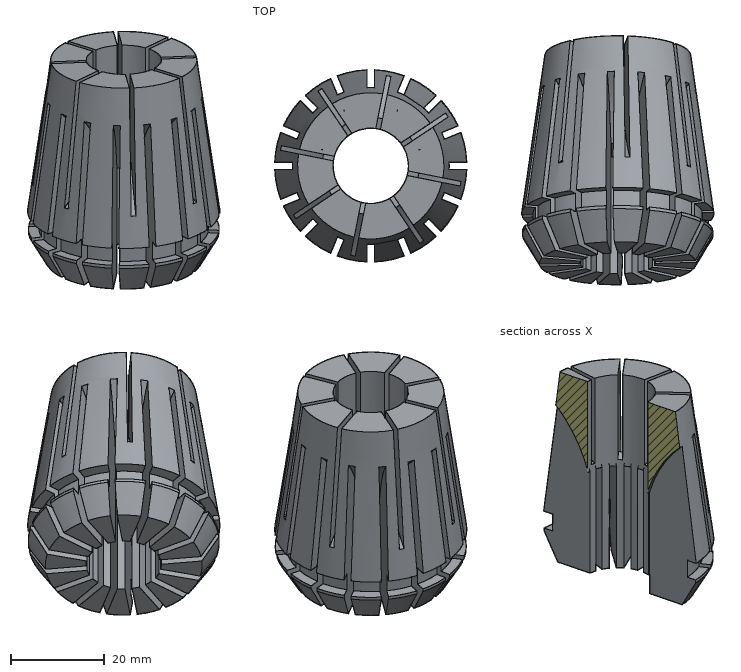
import cadquery as cq
import math

height = 46.0
max_radius = 20.5
taper_angle = 8.0
nose_angle = 30.0
nose_rim_radius = 20.35
nose_rim_bottom = 6.3
groove_bottom = 7.0
groove_top = 11.0
groove_radius = 18.1

bore_radius = 8.0

cutter_radius = 30.0

lower_slot_count = 16
lower_slot_width = 1.5
lower_slot_inner_end = 24.3
lower_slot_outer_end = 37.8

upper_slot_count = 8
upper_slot_width = 1.0
upper_slot_first_angle = -180.0 / lower_slot_count
upper_slot_outer_end = 18.0
floor_crest_radius = 10.35
floor_crest_height = 26.5
floor_dip_angle = 17.0

clearance = 2.0


def taper_radius(z):
    """Radius of the upper cone at height z."""
    return max_radius - (z - groove_top) * math.tan(math.radians(taper_angle))


def make_body():
    nose_radius = nose_rim_radius - nose_rim_bottom * math.tan(math.radians(nose_angle))
    return (
        cq.Workplane("XZ")
        .moveTo(bore_radius, 0)
        .lineTo(nose_radius, 0)
        .lineTo(nose_rim_radius, nose_rim_bottom)
        .lineTo(nose_rim_radius, groove_bottom)
        .lineTo(groove_radius, groove_bottom)
        .lineTo(groove_radius, groove_top)
        .lineTo(max_radius, groove_top)
        .lineTo(taper_radius(height), height)
        .lineTo(bore_radius, height)
        .close()
        .revolve(360, (0, 0, 0), (0, 1, 0))
    )


def cutter_arc_middle(inner, outer):
    """Middle of the cutter arc between two (radius, height) points, bulging towards the axis."""
    run = outer[0] - inner[0]
    rise = outer[1] - inner[1]
    chord = math.hypot(run, rise)
    sagitta = cutter_radius - math.sqrt(cutter_radius**2 - (chord / 2) ** 2)
    middle_radius = (inner[0] + outer[0]) / 2 - sagitta * abs(rise) / chord
    middle_height = (inner[1] + outer[1]) / 2 + math.copysign(sagitta * run / chord, rise)
    return middle_radius, middle_height


def make_slot(open_height, axis_height, inner, outer_height, width):
    """Radial slot along +X from open_height to a closed end.

    The closed end runs straight from axis_height on the axis to the inner (radius, height) point,
    then along the cutter arc to the upper cone at outer_height.
    """
    outer = (taper_radius(outer_height), outer_height)
    outside_radius = max_radius + clearance
    return (
        cq.Workplane("XZ")
        .moveTo(0, open_height)
        .lineTo(0, axis_height)
        .lineTo(*inner)
        .threePointArc(cutter_arc_middle(inner, outer), outer)
        .lineTo(outside_radius, outer_height)
        .lineTo(outside_radius, open_height)
        .close()
        .extrude(width / 2, both=True)
    )


def make_lower_slot():
    return make_slot(
        open_height=-clearance,
        axis_height=lower_slot_inner_end,
        inner=(bore_radius, lower_slot_inner_end),
        outer_height=lower_slot_outer_end,
        width=lower_slot_width,
    )


def make_upper_slot():
    floor_dip = floor_crest_radius * math.tan(math.radians(floor_dip_angle))
    return make_slot(
        open_height=height + clearance,
        axis_height=floor_crest_height - floor_dip,
        inner=(floor_crest_radius, floor_crest_height),
        outer_height=upper_slot_outer_end,
        width=upper_slot_width,
    )


def cut_slots(body, slot, count, first_angle):
    for i in range(count):
        angle = first_angle + i * 360.0 / count
        body = body.cut(slot.rotate((0, 0, 0), (0, 0, 1), angle))
    return body


result = make_body()
result = cut_slots(result, make_lower_slot(), lower_slot_count, 0)
result = cut_slots(result, make_upper_slot(), upper_slot_count, upper_slot_first_angle)